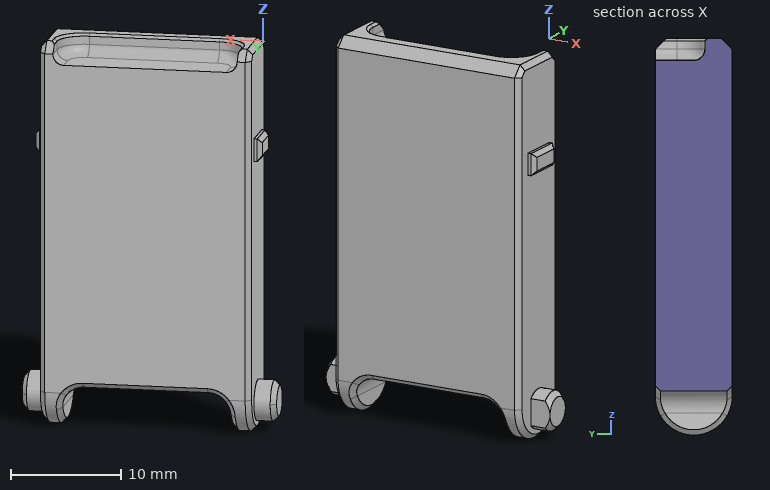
import cadquery as cq

BODY_WIDTH = 19.5
BODY_DEPTH = 7.0
BODY_HEIGHT = 36.0
TOP_CHAMFER = 1.0
EDGE_CHAMFER = 0.5

HALF_WIDTH = BODY_WIDTH / 2
HALF_DEPTH = BODY_DEPTH / 2
TOP_Z = BODY_HEIGHT / 2
BOTTOM_Z = -BODY_HEIGHT / 2
END_CENTER_Z = BOTTOM_Z + HALF_DEPTH

ARM_WIDTH = 2.0
SLOT_HEIGHT = 4.0
SLOT_CORNER_RADIUS = 2.0
SLOT_WIDTH = BODY_WIDTH - 2 * ARM_WIDTH

SCOOP_HALF_WIDTH = 8.5
SCOOP_FRONT_Y = -1.0
SCOOP_DEPTH = 2.0
SCOOP_CORNER_RADIUS = 2.5
SCOOP_FLOOR_FILLET = 1.0
SCOOP_RIM_CHAMFER = 0.25
SCOOP_RIM_ANGLE = 45.0

ROOT_DEPTH = EDGE_CHAMFER

PIN_DIAMETER = 3.8
PIN_LENGTH = 2.0
PIN_CENTER_Z = -15.15
PIN_FLAT_OFFSET = 1.4
PIN_CHAMFER = 0.5

NUB_DEPTH = 3.85
NUB_HEIGHT = 2.1
NUB_LENGTH = 0.7
NUB_CENTER_Z = 8.5
NUB_CHAMFER = 0.4


def side_outline(x, inset):
    """Side outline in the plane at the given x, drawn in by the inset all round."""
    half_depth = HALF_DEPTH - inset
    top_half_depth = HALF_DEPTH - TOP_CHAMFER
    top_z = TOP_Z - inset
    shoulder_z = TOP_Z - TOP_CHAMFER
    return (
        cq.Workplane("YZ", origin=(x, 0, 0))
        .moveTo(-half_depth, END_CENTER_Z)
        .threePointArc((0, BOTTOM_Z + inset), (half_depth, END_CENTER_Z))
        .lineTo(half_depth, shoulder_z)
        .lineTo(top_half_depth, top_z)
        .lineTo(-top_half_depth, top_z)
        .lineTo(-half_depth, shoulder_z)
        .close()
    )


def make_body():
    """Straight middle of the block with a bevelled cap on each X side."""
    straight_half_width = HALF_WIDTH - EDGE_CHAMFER
    middle = side_outline(0, 0).extrude(straight_half_width, both=True)
    cap = cq.Workplane(
        cq.Solid.makeLoft(
            [
                side_outline(straight_half_width, 0).val(),
                side_outline(HALF_WIDTH, EDGE_CHAMFER).val(),
            ],
            ruled=True,
        )
    )
    return middle.union(cap).union(cap.mirror("YZ"))


def cut_bottom_slot(body):
    """Cut the round-cornered slot through Y and chamfer its edges."""
    slot = (
        cq.Workplane("XY")
        .box(SLOT_WIDTH, 2 * BODY_DEPTH, 2 * SLOT_HEIGHT)
        .edges("|Y and >Z")
        .fillet(SLOT_CORNER_RADIUS)
        .translate((0, 0, BOTTOM_Z))
    )
    margin = EDGE_CHAMFER / 2
    reach_x = SLOT_WIDTH / 2 + margin
    slot_region = cq.selectors.BoxSelector(
        (-reach_x, -BODY_DEPTH, BOTTOM_Z - margin),
        (reach_x, BODY_DEPTH, BOTTOM_Z + SLOT_HEIGHT + margin),
        boundingbox=True,
    )
    return body.cut(slot).edges(slot_region).edges("not(|Y)").chamfer(EDGE_CHAMFER)


def scoop_outline(margin):
    """Round-cornered scoop outline in the top face, enlarged by the margin."""
    length = 2 * BODY_DEPTH
    return (
        cq.Workplane("XY", origin=(0, SCOOP_FRONT_Y + length / 2, TOP_Z))
        .sketch()
        .rect(2 * (SCOOP_HALF_WIDTH + margin), length + 2 * margin)
        .vertices()
        .fillet(SCOOP_CORNER_RADIUS + margin)
        .finalize()
    )


def make_scoop():
    """Cutter for the top scoop, running out past the +Y face."""
    pocket = scoop_outline(0).extrude(-SCOOP_DEPTH).faces("<Z").edges().fillet(SCOOP_FLOOR_FILLET)
    rim_bevel = scoop_outline(SCOOP_RIM_CHAMFER).extrude(-SCOOP_RIM_CHAMFER, taper=SCOOP_RIM_ANGLE)
    return pocket.union(rim_bevel)


def make_pin():
    """Pivot pin on the +X side."""
    flat_cutter = cq.Workplane("XY").box(BODY_WIDTH, BODY_DEPTH, BODY_DEPTH).translate(
        (HALF_WIDTH, -PIN_FLAT_OFFSET - BODY_DEPTH / 2, PIN_CENTER_Z)
    )
    return (
        cq.Workplane("YZ", origin=(HALF_WIDTH - ROOT_DEPTH, 0, PIN_CENTER_Z))
        .circle(PIN_DIAMETER / 2)
        .extrude(ROOT_DEPTH + PIN_LENGTH)
        .faces(">X")
        .chamfer(PIN_CHAMFER)
        .cut(flat_cutter)
    )


def make_nub():
    """Chamfered latch nub on the +X side."""
    return (
        cq.Workplane("YZ", origin=(HALF_WIDTH - ROOT_DEPTH, 0, NUB_CENTER_Z))
        .rect(NUB_DEPTH, NUB_HEIGHT)
        .extrude(ROOT_DEPTH + NUB_LENGTH)
        .faces(">X")
        .chamfer(NUB_CHAMFER)
    )


result = cut_bottom_slot(make_body()).cut(make_scoop())
for side_feature in (make_pin(), make_nub()):
    result = result.union(side_feature).union(side_feature.mirror("YZ"))